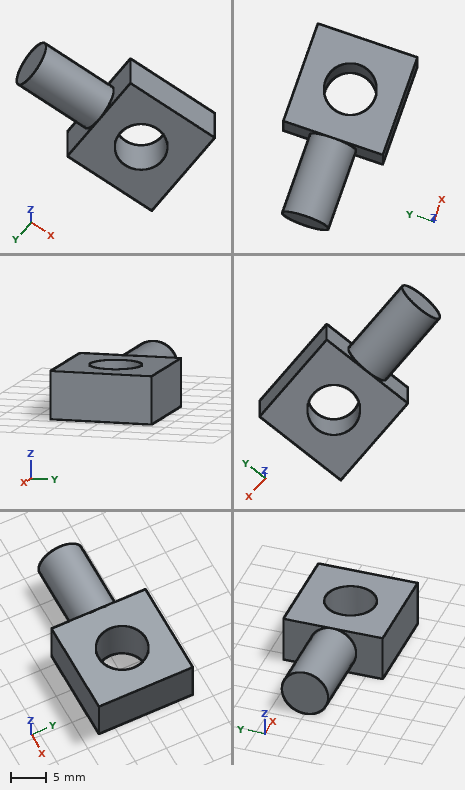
import cadquery as cq

block_side = 15.0
thickness = 7.0
hole_diameter = 7.5
shank_length = 12.0

shank_diameter = thickness
shank_joint_x = -block_side / 2


def make_block():
    """Square block centred on the origin, with a through hole along Z."""
    block = cq.Workplane("XY").box(block_side, block_side, thickness)
    return block.faces(">Z").workplane().hole(hole_diameter)


def make_shank():
    """Round shank running from the block's -X face toward -X."""
    return (
        cq.Workplane("YZ", origin=(shank_joint_x, 0, 0))
        .circle(shank_diameter / 2)
        .extrude(-shank_length)
    )


result = make_block().union(make_shank())